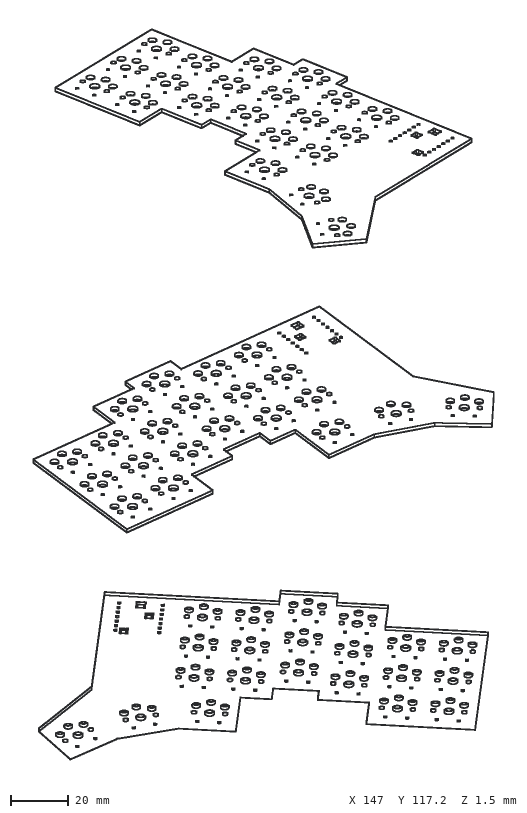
import cadquery as cq
import math

PLATE_TURN = -15
THICKNESS = 1.5

COLUMN_SPAN = 90.0
COLUMN_COUNT = 6
COLUMN_PITCH = COLUMN_SPAN / (COLUMN_COUNT - 1)
ROW_SPAN = 34.0
ROW_COUNT = 3
ROW_PITCH = ROW_SPAN / (ROW_COUNT - 1)
FIRST_KEY_X = -62.2
FIRST_KEY_Y = -4.7
COLUMN_RISES = (0, 0, 12.0, 17.0, 11.0, 11.0)

THUMB_FAN = -20
INNER_THUMB = (20.7, -12.8, 0)
MIDDLE_THUMB = (44.4, -17.2, THUMB_FAN)
OUTER_THUMB = (65.3, -29.0, 2 * THUMB_FAN)

MARGIN_X = 10.0
MARGIN_Y = 9.5

STEM_DIAMETER = 3.4
SOCKET_DIAMETER = 3.0
SOCKET_SIDE_X = 5.0
SOCKET_SIDE_Y = 3.8
SOCKET_TOP_Y = 6.0
PEG_DIAMETER = 1.8
PEG_X = 5.5
DIODE_DIAMETER = 0.98
DIODE_X = 3.8
DIODE_Y = -5.0

STEM_POINTS = [(0, 0)]
SOCKET_POINTS = [(-SOCKET_SIDE_X, SOCKET_SIDE_Y), (0, SOCKET_TOP_Y), (SOCKET_SIDE_X, SOCKET_SIDE_Y)]
PEG_POINTS = [(-PEG_X, 0), (PEG_X, 0)]
DIODE_POINTS = [(-DIODE_X, DIODE_Y), (DIODE_X, DIODE_Y)]

BOARD_X = 49.7
BOARD_Y = 38.2
BOARD_PIN_DIAMETER = 1.0
BOARD_PIN_COUNT = 7
BOARD_PIN_SPAN = 15.3
BOARD_ROW_SPACING = 15.3
BOARD_EDGE_X = BOARD_X + 13.1
BOARD_WINDOWS = ((0, 7.2, 3.1), (-3.4, 1.3, 2.6), (4.7, -7.8, 2.6))
RELIEF_DIAMETER = 0.7
RELIEF_INSET = 0.22


def key_point(key, dx, dy):
    """Point offset by (dx, dy) in the turned frame of a key."""
    x, y, turn = key
    cosine = math.cos(math.radians(turn))
    sine = math.sin(math.radians(turn))
    return (x + dx * cosine - dy * sine, y + dx * sine + dy * cosine)


def grid_key(column, row):
    x = FIRST_KEY_X + column * COLUMN_PITCH
    y = FIRST_KEY_Y + COLUMN_RISES[column] + row * ROW_PITCH
    return (x, y, 0)


def column_left(column):
    return grid_key(column, 0)[0] - MARGIN_X


def column_right(column):
    return grid_key(column, 0)[0] + MARGIN_X


def column_top(column):
    return grid_key(column, ROW_COUNT - 1)[1] + MARGIN_Y


def column_bottom(column):
    return grid_key(column, 0)[1] - MARGIN_Y


def make_plate():
    thumb_left = INNER_THUMB[0] - MARGIN_X
    outline = [
        (column_left(0), column_top(0)),
        (column_left(2), column_top(0)),
        (column_left(2), column_top(2)),
        (column_left(3), column_top(2)),
        (column_left(3), column_top(3)),
        (column_right(3), column_top(3)),
        (column_right(3), column_top(5)),
        (BOARD_EDGE_X, column_top(5)),
        (BOARD_EDGE_X, column_bottom(5)),
        key_point(OUTER_THUMB, MARGIN_X, MARGIN_Y),
        key_point(OUTER_THUMB, MARGIN_X, -MARGIN_Y),
        key_point(OUTER_THUMB, -MARGIN_X, -MARGIN_Y),
        key_point(INNER_THUMB, MARGIN_X, -MARGIN_Y),
        key_point(INNER_THUMB, -MARGIN_X, -MARGIN_Y),
        (thumb_left, column_bottom(4)),
        (column_left(4), column_bottom(4)),
        (column_left(4), column_bottom(3)),
        (column_right(2), column_bottom(3)),
        (column_right(2), column_bottom(2)),
        (column_right(1), column_bottom(2)),
        (column_right(1), column_bottom(1)),
        (column_left(0), column_bottom(0)),
    ]
    return cq.Workplane("XY").polyline(outline).close().extrude(THICKNESS)


def drill(plate, points, diameter):
    holes = cq.Workplane("XY").pushPoints(points).circle(diameter / 2).extrude(THICKNESS)
    return plate.cut(holes)


def drill_keys(plate):
    keys = [grid_key(column, row) for column in range(COLUMN_COUNT) for row in range(ROW_COUNT)]
    keys += [INNER_THUMB, MIDDLE_THUMB, OUTER_THUMB]
    hole_sets = (
        (STEM_POINTS, STEM_DIAMETER),
        (SOCKET_POINTS, SOCKET_DIAMETER),
        (PEG_POINTS, PEG_DIAMETER),
        (DIODE_POINTS, DIODE_DIAMETER),
    )
    for offsets, diameter in hole_sets:
        points = [key_point(key, dx, dy) for key in keys for dx, dy in offsets]
        plate = drill(plate, points, diameter)
    return plate


def cut_board(plate):
    pin_pitch = BOARD_PIN_SPAN / (BOARD_PIN_COUNT - 1)
    pins = cq.Workplane("XY").center(BOARD_X, BOARD_Y)
    pins = pins.rarray(BOARD_ROW_SPACING, pin_pitch, 2, BOARD_PIN_COUNT)
    plate = plate.cut(pins.circle(BOARD_PIN_DIAMETER / 2).extrude(THICKNESS))
    for x, y, side in BOARD_WINDOWS:
        centre = cq.Workplane("XY").center(BOARD_X + x, BOARD_Y + y)
        plate = plate.cut(centre.rect(side, side).extrude(THICKNESS))
        relief_spacing = side - 2 * RELIEF_INSET
        reliefs = centre.rarray(relief_spacing, relief_spacing, 2, 2).circle(RELIEF_DIAMETER / 2)
        plate = plate.cut(reliefs.extrude(THICKNESS))
    return plate


level_plate = cut_board(drill_keys(make_plate()))
result = level_plate.rotate((0, 0, 0), (0, 0, 1), PLATE_TURN)